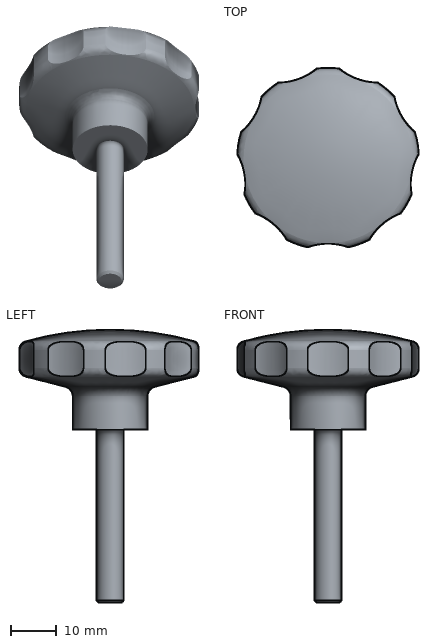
import cadquery as cq
import math

rim_radius = 20.0
rim_height = 7.0
dome_height = 3.0
cone_height = 3.0
edge_fillet = 2.0

knob_height = 22.0
hub_radius = 8.25
neck_fillet = 2.0
stem_radius = 3.0
stem_length = 38.0
stem_chamfer = 0.5

flute_count = 9
flute_half_angle = math.radians(13.0)
flute_floor_radius = 18.7
first_flute_angle = -90.0

match_tolerance = 0.01

rim_top = knob_height - dome_height
rim_bottom = rim_top - rim_height
hub_top = rim_bottom - cone_height

dome_radius = (rim_radius**2 + dome_height**2) / (2 * dome_height)
dome_mid_x = rim_radius / 2
dome_mid_z = knob_height - dome_radius + math.sqrt(dome_radius**2 - dome_mid_x**2)

flute_half_width = rim_radius * math.sin(flute_half_angle)
flute_depth = rim_radius * math.cos(flute_half_angle) - flute_floor_radius
flute_radius = (flute_half_width**2 + flute_depth**2) / (2 * flute_depth)
flute_center_radius = flute_floor_radius + flute_radius


def horizontal_circle(radius, height):
    """Make a test for the circular edge about Z with this radius and height."""
    def matches(edge):
        box = edge.BoundingBox()
        same_radius = abs(box.xmax - radius) < match_tolerance
        same_height = box.zlen < match_tolerance and abs(box.zmax - height) < match_tolerance
        return same_radius and same_height

    return matches


def make_head():
    """Domed head with a conical underside and a hub, revolved about Z."""
    profile = (
        cq.Workplane("XZ")
        .moveTo(0, 0)
        .lineTo(hub_radius, 0)
        .lineTo(hub_radius, hub_top)
        .lineTo(rim_radius, rim_bottom)
        .lineTo(rim_radius, rim_top)
        .threePointArc((dome_mid_x, dome_mid_z), (0, knob_height))
        .close()
    )
    head = profile.revolve(360, (0, 0, 0), (0, 1, 0))
    head = head.edges().filter(horizontal_circle(rim_radius, rim_top)).fillet(edge_fillet)
    head = head.edges().filter(horizontal_circle(rim_radius, rim_bottom)).fillet(edge_fillet)
    return head.edges().filter(horizontal_circle(hub_radius, hub_top)).fillet(neck_fillet)


def cut_flutes(head):
    """Cut vertical scallops, evenly spaced, with one facing -Y."""
    flutes = (
        cq.Workplane("XY")
        .polarArray(flute_center_radius, first_flute_angle, 360, flute_count)
        .circle(flute_radius)
        .extrude(knob_height)
    )
    return head.cut(flutes)


def make_stem():
    """Plain stem below the hub with a chamfered end."""
    stem = cq.Workplane("XY").circle(stem_radius).extrude(-stem_length)
    return stem.faces("<Z").chamfer(stem_chamfer)


result = cut_flutes(make_head()).union(make_stem())